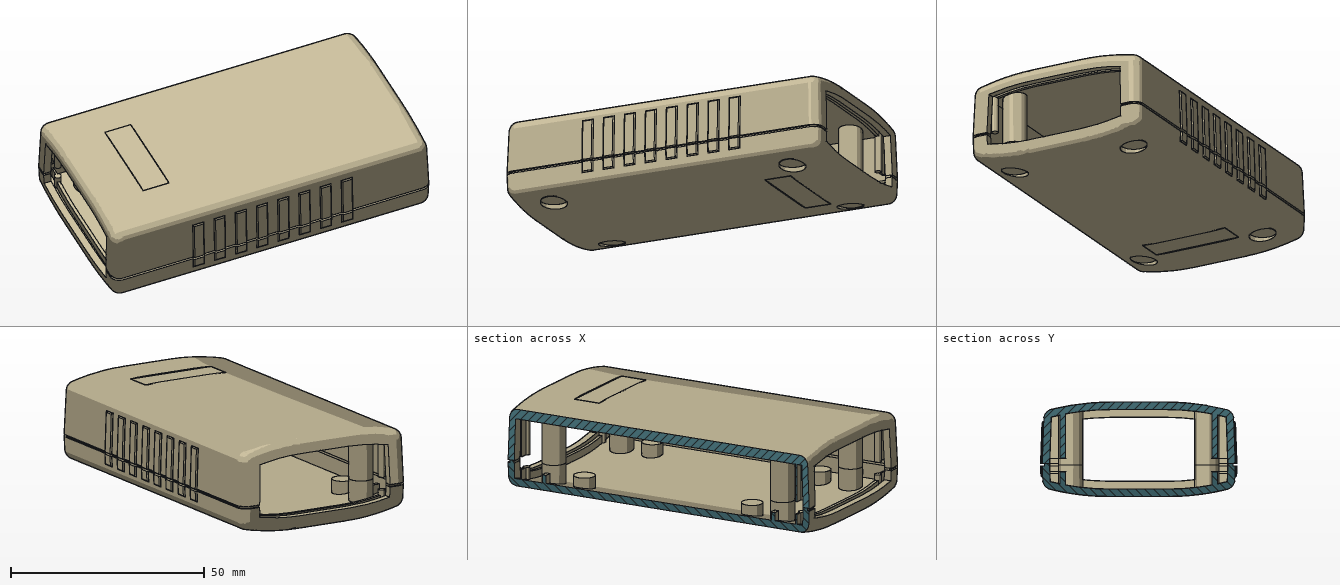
import cadquery as cq
import math

case_width = 50.0
case_length = 90.0
upper_height = 16.24
lower_height = 8.24
draft = 2.0
crown_radius = 64.0
upper_flat_width = 14.4
lower_flat_width = 15.0
edge_radius = 2.6
wall = 2.0

frame_height = 4.0
opening_width = 39.6

groove_height = 0.6
groove_depth = 0.6

grip_count = 8
grip_pitch = 6.0
grip_width = 3.15
grip_depth = 0.41
grip_chamfer = 0.3
upper_grip_length = 11.15
lower_grip_length = 3.15

label_width = 24.4
label_length = 7.3
label_y = -27.4
label_depth = 0.28

pillar_diameter = 6.3
pillar_x = 17.6
pillar_y = 34.1
counterbore_diameter = 7.0
counterbore_depth = 1.6
web_thickness = 1.2
web_drop = 2.2

standoff_diameter = 5.6
standoff_y = 25.0
standoff_drop = 2.2

panel_slot = 1.4
guide_thickness = 0.9
post_diameter = 1.8
post_x = 19.65
post_setback = 0.1
post_tab_thickness = 0.5
upper_post_gap = 1.65
lower_post_gap = 1.75

SIDES = (-1, 1)
half_width = case_width / 2
half_groove = groove_height / 2
slot_end_y = case_length / 2 - wall - panel_slot
guide_y = slot_end_y - guide_thickness / 2
post_y = guide_y - post_setback
corners = [(side, end) for side in SIDES for end in SIDES]


def block(width, length, z0, z1, x=0.0, y=0.0):
    """Box centred on (x, y), from z0 up to z1."""
    return cq.Workplane("XY", origin=(x, y, z0)).rect(width, length).extrude(z1 - z0)


def column(x, y, diameter, z0, z1):
    return cq.Workplane("XY", origin=(x, y, z0)).circle(diameter / 2).extrude(z1 - z0)


def crowned_block(width, length, height, flat_width, radius):
    """Drafted block whose top is flat in the middle and curves down at both sides."""
    flat = flat_width / 2
    middle = (flat + half_width) / 2

    def crown_z(x):
        return height - radius + math.sqrt(radius ** 2 - (x - flat) ** 2)

    crown = (
        cq.Workplane("XZ", origin=(0, length / 2, 0))
        .moveTo(-half_width, 0)
        .lineTo(half_width, 0)
        .lineTo(half_width, crown_z(half_width))
        .threePointArc((middle, crown_z(middle)), (flat, height))
        .lineTo(-flat, height)
        .threePointArc((-middle, crown_z(middle)), (-half_width, crown_z(half_width)))
        .close()
        .extrude(length)
    )
    return cq.Workplane("XY").rect(width, length).extrude(height, taper=draft).intersect(crown)


def outer_volume(height, flat_width):
    body = crowned_block(case_width, case_length, height, flat_width, crown_radius)
    return body.edges("not(<Z)").fillet(edge_radius)


def root_volume(height, flat_width):
    """Space down to the middle of the shell's wall, where the inner features take root."""
    return crowned_block(
        case_width - wall, case_length - wall, height - wall / 2, flat_width, crown_radius - wall / 2
    )


def cavity_volume(height, flat_width):
    return crowned_block(
        case_width - 2 * wall, case_length - 2 * wall, height - wall, flat_width, crown_radius - wall
    )


def opening_volume(height, flat_width):
    """Passage along Y through both end walls."""
    return crowned_block(
        opening_width, 2 * case_length, height - frame_height, flat_width, crown_radius - frame_height
    )


def grip_rib(y, length):
    """Bevelled bar on the +X side wall, leaning with the draft."""
    inner_x = half_width - wall / 2
    outer_x = half_width + grip_depth
    bar = block(outer_x - inner_x, grip_width, -wall, length, (inner_x + outer_x) / 2, y)
    bar = bar.faces(">X").edges("not(<Z)").chamfer(grip_chamfer)
    bar = bar.rotate((half_width, 0, 0), (half_width, 1, 0), -draft)
    return bar.intersect(block(2 * case_width, case_length, 0, 2 * length))


def panel_guides(end, height, post_gap, opening):
    """Low rib clear of the opening, and a round-nosed post at each side."""
    y = end * guide_y
    guides = block(2 * post_x, guide_thickness, post_gap, height, 0, y).cut(opening)
    for side in SIDES:
        tab_length = half_width - wall / 2 - post_x
        tab_x = side * (post_x + tab_length / 2)
        guides = guides.union(column(side * post_x, end * post_y, post_diameter, post_gap, height))
        guides = guides.union(
            block(tab_length, post_tab_thickness, post_gap, height, tab_x, end * post_y)
        )
    return guides


def groove_core():
    """Slab that fills everything inside the groove, from the parting plane to the groove's edge."""
    slab = block(case_width - 2 * groove_depth, case_length - 2 * groove_depth, 0, half_groove)
    return slab.edges("|Z").fillet(edge_radius - groove_depth)


def half_shell(height, flat_width, grip_length, post_gap):
    roots = root_volume(height, flat_width)
    opening = opening_volume(height, flat_width)
    shell = outer_volume(height, flat_width).cut(cavity_volume(height, flat_width)).cut(opening)

    for index in range(grip_count):
        rib = grip_rib((index - (grip_count - 1) / 2) * grip_pitch, grip_length)
        shell = shell.union(rib).union(rib.mirror("YZ"))

    shell = shell.cut(block(2 * case_width, 2 * case_length, 0, half_groove))

    for side, end in corners:
        pillar = column(side * pillar_x, end * pillar_y, pillar_diameter, 0, height)
        shell = shell.union(pillar.intersect(roots))

    for end in SIDES:
        shell = shell.union(panel_guides(end, height, post_gap, opening).intersect(roots))

    return shell.cut(block(label_width, label_length, height - label_depth, height, 0, label_y))


upper_shell = half_shell(upper_height, upper_flat_width, upper_grip_length, upper_post_gap)


def parting_lip():
    """Ring at the bottom of the groove that reaches up to the wall of the upper shell."""
    core = groove_core()
    lip = core.union(core.mirror("XY"))
    lip = lip.cut(block(case_width - 2 * wall, case_length - 2 * wall, -half_groove, half_groove))
    return lip.cut(block(opening_width, 2 * case_length, -half_groove, half_groove))


def make_lower_shell():
    shell = half_shell(lower_height, lower_flat_width, lower_grip_length, lower_post_gap)
    roots = root_volume(lower_height, lower_flat_width)
    shell = shell.union(parting_lip())

    web_length = half_width - wall / 2 - pillar_x
    for side, end in corners:
        web_x = side * (pillar_x + web_length / 2)
        web = block(web_length, web_thickness, web_drop, lower_height, web_x, end * pillar_y)
        standoff = column(side * pillar_x, end * standoff_y, standoff_diameter, standoff_drop, lower_height)
        shell = shell.union(web.intersect(roots)).union(standoff.intersect(roots))

    for side, end in corners:
        seat_z = lower_height - counterbore_depth
        shell = shell.cut(
            column(side * pillar_x, end * pillar_y, counterbore_diameter, seat_z, lower_height)
        )
    return shell.mirror("XY")


lower_shell = make_lower_shell()

result = cq.Compound.makeCompound([upper_shell.val(), lower_shell.val()])